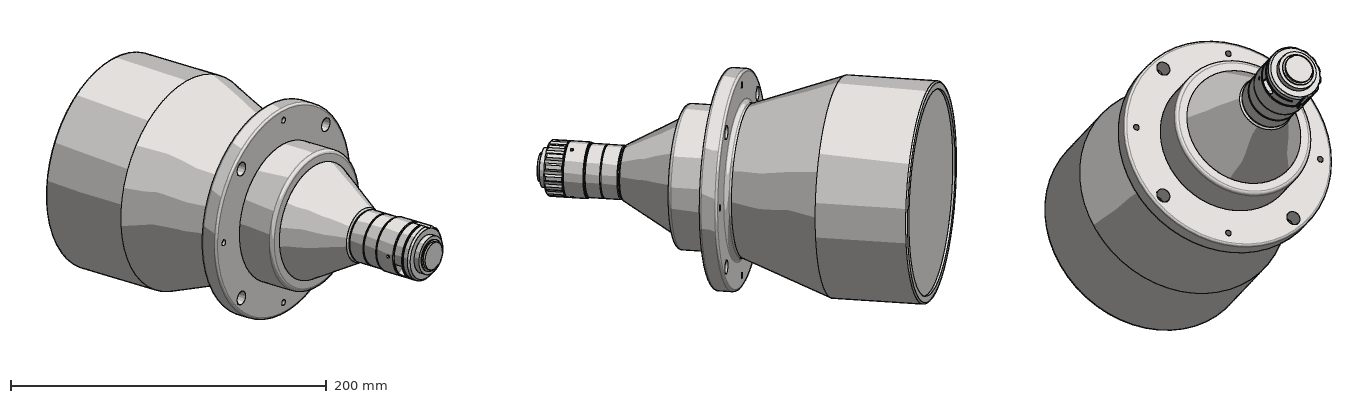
import cadquery as cq
import math

length = 254.5

barrel_radius = 71.0
barrel_end = 59.8
barrel_chamfer = 1.0
glass_radius = 66.0
glass_recess = 1.5
glass_apex = 0.5

neck_radius = 49.5
neck_start = 119.2
neck_fillet = 2.8
flange_start = 123.5
flange_end = 135.5
flange_radius = barrel_radius
flange_edge_fillet = 1.5

hub_radius = 46.5
hub_end = 161.5
hub_fillet = 2.3
cone_large_radius = 39.0
cone_small_radius = 18.0
cone_end = 198.9

tube_radius = 17.3
tube_start = 201.0
joint_radius = 16.5
joint_start = 199.5
joint_end = 200.5
parting_start = 211.3
parting_width = 0.8
parting_depth = 0.3
tube_end = 221.5

ring_radius = 18.0
focus_start = 222.3
focus_end = 236.0
lock_start = 236.5
ring_edge = 0.5
lock_end = 248.5
lock_chamfer = 1.3

rear_radius = 12.7
rear_end = 252.3
thread_radius = 10.5
thread_end = 253.0
tip_radius = 9.2

bolt_circle_radius = 63.0
bolt_hole_diameter = 9.0
pin_hole_diameter = 3.8
holes_of_each_kind = 4

screw_x = 232.0
screw_diameter = 2.0
screw_depth = 1.5
screw_count = 3

flute_count = 7
flute_pitch = 24.0
flute_bottom_width = 2.0
flute_top_width = 5.3
flute_depth = 1.3
seam_x = 243.2
seam_width = 1.0
seam_depth = 0.38
window_x = 239.8
window_width = 5.0
window_length = 10.2
window_floor_radius = rear_radius
window_angle = 30.0

ARC_MIDDLE = math.sqrt(0.5)


def lens_body():
    """Revolve the outer profile, drawn as (x, radius) from the glass to the tip."""
    fillet_start = flange_start - neck_fillet
    fillet_centre_radius = neck_radius + neck_fillet
    fillet_middle = (
        fillet_start + neck_fillet * ARC_MIDDLE,
        fillet_centre_radius - neck_fillet * ARC_MIDDLE,
    )
    edge_sag = flange_edge_fillet * (1 - ARC_MIDDLE)
    hub_sag = hub_fillet * (1 - ARC_MIDDLE)
    dome_middle_radius = glass_radius / 2
    dome_rise = glass_recess - glass_apex
    dome_sphere = (glass_radius**2 + dome_rise**2) / (2 * dome_rise)
    dome_middle_x = glass_apex + dome_sphere - math.sqrt(dome_sphere**2 - dome_middle_radius**2)

    profile = (
        cq.Workplane("XY")
        .moveTo(glass_apex, 0)
        .threePointArc((dome_middle_x, dome_middle_radius), (glass_recess, glass_radius))
        .lineTo(0, glass_radius)
        .lineTo(0, barrel_radius - barrel_chamfer)
        .lineTo(barrel_chamfer, barrel_radius)
        .lineTo(barrel_end, barrel_radius)
        .lineTo(neck_start, neck_radius)
        .lineTo(fillet_start, neck_radius)
        .threePointArc(fillet_middle, (flange_start, fillet_centre_radius))
        .lineTo(flange_start, flange_radius - flange_edge_fillet)
        .threePointArc(
            (flange_start + edge_sag, flange_radius - edge_sag),
            (flange_start + flange_edge_fillet, flange_radius),
        )
        .lineTo(flange_end - flange_edge_fillet, flange_radius)
        .threePointArc(
            (flange_end - edge_sag, flange_radius - edge_sag),
            (flange_end, flange_radius - flange_edge_fillet),
        )
        .lineTo(flange_end, hub_radius)
        .lineTo(hub_end - hub_fillet, hub_radius)
        .threePointArc(
            (hub_end - hub_sag, hub_radius - hub_sag),
            (hub_end, hub_radius - hub_fillet),
        )
        .lineTo(hub_end, cone_large_radius)
        .lineTo(cone_end, cone_small_radius)
        .lineTo(joint_start, joint_radius)
        .lineTo(joint_end, joint_radius)
        .lineTo(tube_start, tube_radius)
        .lineTo(parting_start, tube_radius)
        .lineTo(parting_start, tube_radius - parting_depth)
        .lineTo(parting_start + parting_width, tube_radius - parting_depth)
        .lineTo(parting_start + parting_width, tube_radius)
        .lineTo(tube_end, tube_radius)
        .lineTo(tube_end, tube_radius - parting_depth)
        .lineTo(focus_start, tube_radius - parting_depth)
        .lineTo(focus_start, ring_radius - ring_edge)
        .lineTo(focus_start + ring_edge, ring_radius)
        .lineTo(focus_end - ring_edge, ring_radius)
        .lineTo(focus_end, ring_radius - ring_edge)
        .lineTo(lock_start - ring_edge / 2, ring_radius - ring_edge)
        .lineTo(lock_start + ring_edge / 2, ring_radius)
        .lineTo(lock_end - lock_chamfer, ring_radius)
        .lineTo(lock_end, ring_radius - lock_chamfer)
        .lineTo(lock_end, rear_radius)
        .lineTo(rear_end, rear_radius)
        .lineTo(rear_end, thread_radius)
        .lineTo(thread_end, thread_radius)
        .lineTo(thread_end, tip_radius)
        .lineTo(length, tip_radius)
        .lineTo(length, 0)
        .close()
    )
    return profile.revolve(360, (0, 0, 0), (1, 0, 0))


def flange_holes(diameter, start_angle):
    """Cutters for one set of through holes on the bolt circle."""
    return (
        cq.Workplane("YZ", origin=(flange_start, 0, 0))
        .polarArray(bolt_circle_radius, start_angle, 360, holes_of_each_kind)
        .circle(diameter / 2)
        .extrude(flange_end - flange_start)
    )


def screw_holes():
    """Radial blind holes in the focus ring, the first one facing -Y."""
    floor = ring_radius - screw_depth
    hole = (
        cq.Workplane("XZ", origin=(screw_x, -floor, 0))
        .circle(screw_diameter / 2)
        .extrude(2 * screw_depth)
    )
    holes = cq.Workplane()
    for index in range(screw_count):
        holes = holes.add(hole.rotate((0, 0, 0), (1, 0, 0), index * 360 / screw_count))
    return holes.combine()


def grip_flutes():
    """Trapezoidal flutes along the +Y half of the locking ring, spread from +Z round to -Z."""
    floor = ring_radius - flute_depth
    slope = (flute_top_width - flute_bottom_width) / 2 / flute_depth
    top = ring_radius + flute_depth
    top_half_width = flute_bottom_width / 2 + slope * (top - floor)
    flute = (
        cq.Workplane("YZ", origin=(lock_start, 0, 0))
        .polyline([
            (-flute_bottom_width / 2, floor),
            (flute_bottom_width / 2, floor),
            (top_half_width, top),
            (-top_half_width, top),
        ])
        .close()
        .extrude(lock_end - lock_start)
    )
    flutes = cq.Workplane()
    for index in range(flute_count):
        angle = (index + 0.5) * flute_pitch
        flutes = flutes.add(flute.rotate((0, 0, 0), (1, 0, 0), -angle))
    return flutes.combine()


def seam_groove():
    """Shallow groove round the -Y half of the locking ring."""
    return (
        cq.Workplane("XY")
        .moveTo(seam_x, -ring_radius)
        .rect(seam_width, 2 * seam_depth)
        .revolve(180, (0, 0, 0), (1, 0, 0))
        .rotate((0, 0, 0), (1, 0, 0), -90)
    )


def lock_window():
    """Radial pocket on the -Y side of the locking ring, square above and round below.

    Its floor is concentric with the ring.
    """
    half_width = window_width / 2
    top = window_length / 2
    bottom = half_width - top
    pocket = (
        cq.Workplane("XZ", origin=(window_x, 0, 0))
        .moveTo(-half_width, top)
        .lineTo(half_width, top)
        .lineTo(half_width, bottom)
        .threePointArc((0, -top), (-half_width, bottom))
        .close()
        .extrude(2 * ring_radius)
    )
    core = (
        cq.Workplane("YZ", origin=(lock_start, 0, 0))
        .circle(window_floor_radius)
        .extrude(lock_end - lock_start)
    )
    return pocket.cut(core).rotate((0, 0, 0), (1, 0, 0), window_angle)


result = (
    lens_body()
    .cut(flange_holes(bolt_hole_diameter, 45))
    .cut(flange_holes(pin_hole_diameter, 0))
    .cut(screw_holes())
    .cut(grip_flutes())
    .cut(seam_groove())
    .cut(lock_window())
)